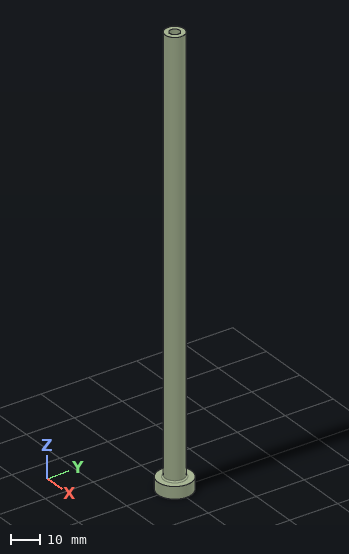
import cadquery as cq

total_length = 180
head_diameter = 14.0
head_height = 5.0
shaft_diameter = 8.0
bore_diameter = 4.0
neck_fillet = 0.5

head_radius = head_diameter / 2
shaft_radius = shaft_diameter / 2

profile = (
    cq.Workplane("XZ")
    .lineTo(head_radius, 0)
    .lineTo(head_radius, head_height)
    .lineTo(shaft_radius + neck_fillet, head_height)
    .radiusArc((shaft_radius, head_height + neck_fillet), neck_fillet)
    .lineTo(shaft_radius, total_length)
    .lineTo(0, total_length)
    .close()
)
body = profile.revolve(360, (0, 0, 0), (0, 1, 0))

bore = cq.Workplane("XY").circle(bore_diameter / 2).extrude(total_length)

result = body.cut(bore)